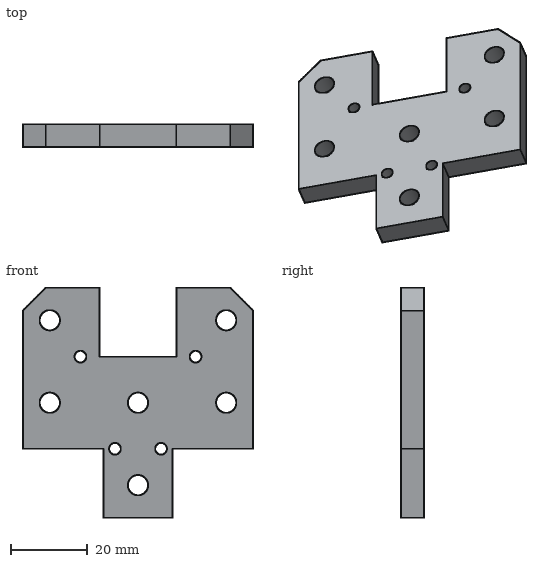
import cadquery as cq

size = 60.0
thickness = 6.0
half = size / 2
back_origin = (0, thickness / 2, 0)

corner_chamfer = 6.0
notch_width = 20.0
notch_depth = 18.0
tab_width = 18.0
tab_length = 18.0
notch_floor = half - notch_depth
shoulder = tab_length - half

large_diameter = 5.2
column_spacing = 23.0
row_spacing = 21.5
large_holes = [
    (-column_spacing, row_spacing),
    (column_spacing, row_spacing),
    (-column_spacing, 0),
    (0, 0),
    (column_spacing, 0),
    (0, -row_spacing),
]

small_diameter = 3.0
upper_pair_spacing = 30.0
lower_pair_spacing = 12.0
small_holes = [
    (side * spacing / 2, height)
    for spacing, height in ((upper_pair_spacing, notch_floor), (lower_pair_spacing, shoulder))
    for side in (-1, 1)
]

right_half = [
    (notch_width / 2, notch_floor),
    (notch_width / 2, half),
    (half - corner_chamfer, half),
    (half, half - corner_chamfer),
    (half, shoulder),
    (tab_width / 2, shoulder),
    (tab_width / 2, -half),
]
left_half = [(-x, z) for x, z in reversed(right_half)]


def through_holes(centres, diameter):
    """Cylinders that pass through the full plate thickness."""
    return (
        cq.Workplane("XZ", origin=back_origin)
        .pushPoints(centres)
        .circle(diameter / 2)
        .extrude(thickness)
    )


plate = cq.Workplane("XZ", origin=back_origin).polyline(right_half + left_half).close().extrude(thickness)

result = (
    plate
    .cut(through_holes(large_holes, large_diameter))
    .cut(through_holes(small_holes, small_diameter))
)